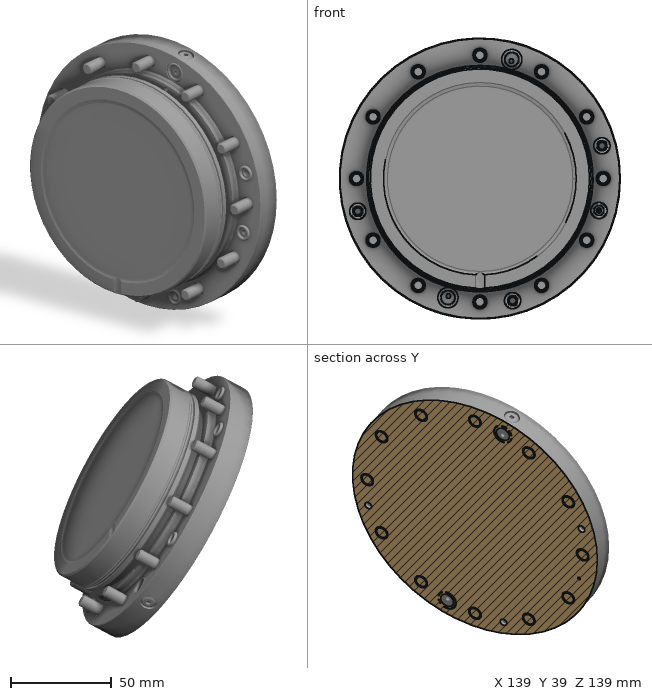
import cadquery as cq
import math


FLANGE_RADIUS = 69.5
FLANGE_THICKNESS = 13.2
FLANGE_CHAMFER = 0.3

TOTAL_DEPTH = 39.0
BODY_LENGTH = TOTAL_DEPTH - FLANGE_THICKNESS
BODY_RADIUS = 55.0
BODY_CHAMFER = 0.8
COLLAR_LENGTH = 4.3
NECK_RADIUS = 50.2
NECK_END = 8.6
PACKING_START = 11.7
PACKING_WIDTH = 3.5
PACKING_DEPTH = 1.0
RIDGE_INSET = 1.1
RIDGE_VALLEY_DEPTH = 0.5
COLLAR_SEAL_SECTION_RADIUS = 1.4
COLLAR_SEAL_LIFT = 0.5
COLLAR_SEAL_OUTER_RADIUS = 56.0

RECESS_RADIUS = 47.7
RECESS_EDGE_WIDTH = 1.8
RECESS_DEPTH = 0.4
SLOT_WIDTH = 4.6
SLOT_DEPTH = RECESS_DEPTH

SCREW_COUNT = 12
SCREW_CIRCLE_RADIUS = 61.0
SCREW_DIAMETER = 6.0
SCREW_LENGTH = 10.8
SCREW_CHAMFER = 0.7
CLEARANCE_DIAMETER = 6.8
CLEARANCE_DEPTH = 2.8

PORT_ANGLES = (75, 255)
PORT_DIAMETER = 10.0
PORT_SEAL_INNER_DIAMETER = 6.8
PORT_SEAL_SECTION_RADIUS = (PORT_DIAMETER - PORT_SEAL_INNER_DIAMETER) / 4
PORT_SEAL_SEAT = 0.1
PORT_DEPTH = 2 * PORT_SEAL_SECTION_RADIUS - PORT_SEAL_SEAT
PORT_PASSAGE_DIAMETER = 2.2
PORT_PASSAGE_RADIUS = 60.2
PORT_PASSAGE_DEPTH = 2.8
COLLAR_HOLE_DIAMETER = 2.5
COLLAR_HOLE_RADIUS = (NECK_RADIUS + BODY_RADIUS) / 2

RAISED_SEAL_ANGLES = (15, 195, 285)
RAISED_SEAL_CIRCLE_RADIUS = 62.5
RAISED_SEAL_DIAMETER = 8.0
RAISED_SEAL_INNER_DIAMETER = 4.9
RAISED_SEAL_SECTION_RADIUS = (RAISED_SEAL_DIAMETER - RAISED_SEAL_INNER_DIAMETER) / 4
RAISED_SEAL_LIFT = 0.7
BLIND_HOLE_DIAMETER = 3.5
BLIND_HOLE_DEPTH = 2.8
VENT_ANGLE = -15
VENT_DIAMETER = 1.1
VENT_MOUTH_DIAMETER = 2.5
VENT_MOUTH_DEPTH = 0.8

PLUG_POCKET_DIAMETER = 8.0
PLUG_POCKET_DEPTH = 2.8
PLUG_DIAMETER = 7.8
PLUG_TOP_DIAMETER = 4.7
PLUG_HEIGHT = 2.5
PLUG_SOCKET_DIAMETER = 2.5
PLUG_SOCKET_DEPTH = 1.4

OVERLAP = 0.7


def polar(radius, angle):
    """X and Z of a point at a radius and an angle in degrees from +X towards +Z."""
    return radius * math.cos(math.radians(angle)), radius * math.sin(math.radians(angle))


def rod(radius, angle, diameter, y_front, y_back):
    """Cylinder parallel to Y, between two Y positions."""
    x, z = polar(radius, angle)
    return cq.Workplane(
        cq.Solid.makeCylinder(diameter / 2, y_back - y_front, cq.Vector(x, y_front, z), cq.Vector(0, 1, 0))
    )


def ring(radius, angle, outer_diameter, section_radius, y):
    """Torus with its axis parallel to Y."""
    x, z = polar(radius, angle)
    centre = cq.Vector(x, y, z)
    return cq.Workplane(
        cq.Solid.makeTorus(outer_diameter / 2 - section_radius, section_radius, centre, cq.Vector(0, 1, 0))
    )


def make_turned_body():
    """Flange, collar, neck and grooved body as one turned profile."""
    packing_end = PACKING_START + PACKING_WIDTH
    profile = [
        (0, FLANGE_THICKNESS),
        (FLANGE_RADIUS - FLANGE_CHAMFER, FLANGE_THICKNESS),
        (FLANGE_RADIUS, FLANGE_THICKNESS - FLANGE_CHAMFER),
        (FLANGE_RADIUS, FLANGE_CHAMFER),
        (FLANGE_RADIUS - FLANGE_CHAMFER, 0),
        (BODY_RADIUS, 0),
        (BODY_RADIUS, -COLLAR_LENGTH),
        (NECK_RADIUS, -COLLAR_LENGTH),
        (NECK_RADIUS, -NECK_END),
        (BODY_RADIUS - BODY_CHAMFER, -NECK_END),
        (BODY_RADIUS, -NECK_END - BODY_CHAMFER),
        (BODY_RADIUS, -PACKING_START),
        (BODY_RADIUS - PACKING_DEPTH, -PACKING_START),
        (BODY_RADIUS, -PACKING_START - RIDGE_INSET),
        (BODY_RADIUS - RIDGE_VALLEY_DEPTH, -PACKING_START - PACKING_WIDTH / 2),
        (BODY_RADIUS, -packing_end + RIDGE_INSET),
        (BODY_RADIUS - PACKING_DEPTH, -packing_end),
        (BODY_RADIUS, -packing_end),
        (BODY_RADIUS, -BODY_LENGTH + BODY_CHAMFER),
        (BODY_RADIUS - BODY_CHAMFER, -BODY_LENGTH),
        (RECESS_RADIUS, -BODY_LENGTH),
    ]
    edge_middle = (RECESS_RADIUS - RECESS_EDGE_WIDTH / 2, -BODY_LENGTH + RECESS_DEPTH * 3 / 4)
    edge_end = (RECESS_RADIUS - RECESS_EDGE_WIDTH, -BODY_LENGTH + RECESS_DEPTH)
    outline = cq.Workplane("XY").polyline(profile).threePointArc(edge_middle, edge_end)
    outline = outline.lineTo(0, -BODY_LENGTH + RECESS_DEPTH).close()
    return outline.revolve(360, (0, 0, 0), (0, 1, 0))


def add_collar_seal(part):
    seal = ring(0, 0, 2 * COLLAR_SEAL_OUTER_RADIUS, COLLAR_SEAL_SECTION_RADIUS, -COLLAR_SEAL_LIFT)
    return part.union(seal)


def cut_front_slot(part):
    """Shallow round-bottomed slot from the recess down to the outer side of the body."""
    slot_radius = (SLOT_WIDTH**2 / 4 + SLOT_DEPTH**2) / (2 * SLOT_DEPTH)
    axis_y = -BODY_LENGTH + SLOT_DEPTH - slot_radius
    start = cq.Vector(0, axis_y, RECESS_EDGE_WIDTH - RECESS_RADIUS)
    length = BODY_RADIUS + OVERLAP + start.z
    return part.cut(cq.Workplane(cq.Solid.makeCylinder(slot_radius, length, start, cq.Vector(0, 0, -1))))


def add_screws(part):
    for i in range(SCREW_COUNT):
        angle = i * 360 / SCREW_COUNT
        part = part.cut(rod(SCREW_CIRCLE_RADIUS, angle, CLEARANCE_DIAMETER, 0, CLEARANCE_DEPTH))
        shank = rod(SCREW_CIRCLE_RADIUS, angle, SCREW_DIAMETER, -SCREW_LENGTH, CLEARANCE_DEPTH + OVERLAP)
        part = part.union(shank.faces("<Y").chamfer(SCREW_CHAMFER))
    return part


def add_port(part, angle):
    """Recess holding a flush seal ring, its passage, and the hole in the collar face."""
    seal = ring(SCREW_CIRCLE_RADIUS, angle, PORT_DIAMETER, PORT_SEAL_SECTION_RADIUS, PORT_SEAL_SECTION_RADIUS)
    part = part.cut(rod(SCREW_CIRCLE_RADIUS, angle, PORT_DIAMETER, 0, PORT_DEPTH).cut(seal))
    passage_end = PORT_DEPTH + PORT_PASSAGE_DEPTH
    part = part.cut(rod(PORT_PASSAGE_RADIUS, angle, PORT_PASSAGE_DIAMETER, PORT_DEPTH, passage_end))
    return part.cut(rod(COLLAR_HOLE_RADIUS, angle, COLLAR_HOLE_DIAMETER, -COLLAR_LENGTH, 0))


def add_raised_seal(part, radius, angle):
    return part.union(ring(radius, angle, RAISED_SEAL_DIAMETER, RAISED_SEAL_SECTION_RADIUS, -RAISED_SEAL_LIFT))


def cut_vent(part):
    """Through hole with a conical mouth."""
    x, z = polar(SCREW_CIRCLE_RADIUS, VENT_ANGLE)
    mouth = cq.Solid.makeCone(
        VENT_MOUTH_DIAMETER / 2, VENT_DIAMETER / 2, VENT_MOUTH_DEPTH, cq.Vector(x, 0, z), cq.Vector(0, 1, 0)
    )
    part = part.cut(cq.Workplane(mouth))
    return part.cut(rod(SCREW_CIRCLE_RADIUS, VENT_ANGLE, VENT_DIAMETER, 0, FLANGE_THICKNESS))


def add_rim_plug(part, angle):
    """Round-edged plug with a socket, in a radial pocket at mid thickness of the rim."""
    outward = cq.Vector(math.cos(math.radians(angle)), 0, math.sin(math.radians(angle)))
    centre = cq.Vector(0, FLANGE_THICKNESS / 2, 0)
    floor = cq.Plane(centre + outward * (FLANGE_RADIUS - PLUG_POCKET_DEPTH), cq.Vector(0, 1, 0), outward)
    pocket = cq.Workplane(floor).circle(PLUG_POCKET_DIAMETER / 2).extrude(PLUG_POCKET_DEPTH + OVERLAP)
    plug = cq.Workplane(floor).circle(PLUG_DIAMETER / 2).extrude(PLUG_HEIGHT)
    top_edge = plug.faces(cq.DirectionMinMaxSelector(outward, True)).edges()
    plug = top_edge.fillet((PLUG_DIAMETER - PLUG_TOP_DIAMETER) / 2)
    socket_floor = PLUG_HEIGHT - PLUG_SOCKET_DEPTH
    socket = cq.Workplane(floor).workplane(offset=socket_floor)
    socket = socket.circle(PLUG_SOCKET_DIAMETER / 2).extrude(PLUG_SOCKET_DEPTH)
    return part.cut(pocket.cut(plug.cut(socket)))


result = cut_front_slot(add_collar_seal(make_turned_body()))
result = add_screws(result)
for port_angle in PORT_ANGLES:
    result = add_port(result, port_angle)
    result = add_rim_plug(result, port_angle)
for seal_angle in RAISED_SEAL_ANGLES:
    result = add_raised_seal(result, RAISED_SEAL_CIRCLE_RADIUS, seal_angle)
    result = result.cut(rod(RAISED_SEAL_CIRCLE_RADIUS, seal_angle, BLIND_HOLE_DIAMETER, 0, BLIND_HOLE_DEPTH))
result = cut_vent(add_raised_seal(result, SCREW_CIRCLE_RADIUS, VENT_ANGLE))